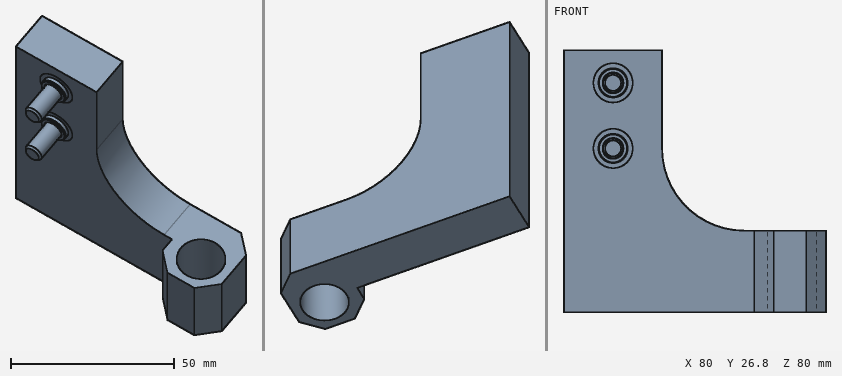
import cadquery as cq

overall_size = 80.0
plate_thickness = 14.0
column_width = 30.0
foot_height = 25.0
inner_corner_radius = foot_height

boss_width = 22.0
boss_reach = 11.0
boss_chamfer = 6.0
bore_diameter = 14.9
bore_from_end = 10.5
bore_from_front = 10.0

pin_pitch = 20.0
pin_x = column_width / 2
upper_pin_z = overall_size - pin_pitch / 2
pin_heights = [upper_pin_z, upper_pin_z - pin_pitch]

seat_depth = 10.0
bushing_diameter = 12.0
bushing_hole_diameter = 6.4
collar_diameter = 9.0
collar_length = 1.8
collar_chamfer_length = 0.5
collar_chamfer_depth = 0.2

pin_diameter = 6.0
pin_reach = 12.8
pin_chamfer_length = 0.7
pin_chamfer_depth = 0.6


def cylinder_along_y(diameter, back_y, front_y, z):
    """Cylinder on the pin axis at height z, running toward -Y."""
    return (
        cq.Workplane("XZ", origin=(pin_x, back_y, z))
        .circle(diameter / 2)
        .extrude(back_y - front_y)
    )


def chamfer_front(cylinder, length, depth):
    """Chamfer the front rim: length is along Y, depth is radial."""
    return cylinder.faces("<Y").edges().chamfer(length, depth)


def make_plate():
    """L-shaped plate with a rounded inner corner."""
    corner_center = (column_width + inner_corner_radius, foot_height + inner_corner_radius)
    half_chord = inner_corner_radius * 0.5 ** 0.5
    arc_middle = (corner_center[0] - half_chord, corner_center[1] - half_chord)
    return (
        cq.Workplane("XZ")
        .lineTo(overall_size, 0)
        .lineTo(overall_size, foot_height)
        .lineTo(corner_center[0], foot_height)
        .threePointArc(arc_middle, (column_width, corner_center[1]))
        .lineTo(column_width, overall_size)
        .lineTo(0, overall_size)
        .close()
        .extrude(-plate_thickness)
    )


def make_boss():
    """Rectangular boss in front of the foot, with chamfered front corners."""
    return (
        cq.Workplane("XY")
        .box(boss_width, boss_reach, foot_height, centered=False)
        .translate((overall_size - boss_width, -boss_reach, 0))
        .edges("|Z and <Y")
        .chamfer(boss_chamfer)
    )


def make_bracket():
    """Plate and boss in one piece, with the bore and the blind bushing seats."""
    plate = make_plate().edges("|Z and >X and >Y").chamfer(boss_chamfer)
    bore = (
        cq.Workplane("XY")
        .center(overall_size - bore_from_end, bore_from_front - boss_reach)
        .circle(bore_diameter / 2)
        .extrude(foot_height)
    )
    bracket = plate.union(make_boss()).clean().cut(bore)
    for z in pin_heights:
        bracket = bracket.cut(cylinder_along_y(bushing_diameter, seat_depth, 0, z))
    return bracket


def make_bushing(z):
    """Sleeve flush with the plate, carrying a smaller chamfered collar in front."""
    sleeve = cylinder_along_y(bushing_diameter, seat_depth, 0, z)
    collar = cylinder_along_y(collar_diameter, 0, -collar_length, z)
    collar = chamfer_front(collar, collar_chamfer_length, collar_chamfer_depth)
    hole = cylinder_along_y(bushing_hole_diameter, seat_depth, -collar_length, z)
    return sleeve.union(collar).cut(hole)


def make_pin(z):
    """Pin standing on the seat floor with clearance in its bushing, chamfered in front."""
    pin = cylinder_along_y(pin_diameter, seat_depth, -pin_reach, z)
    return chamfer_front(pin, pin_chamfer_length, pin_chamfer_depth)


bracket = make_bracket()
bushings = [make_bushing(z).val() for z in pin_heights]
pins = [make_pin(z).val() for z in pin_heights]

result = cq.Compound.makeCompound([bracket.val(), *bushings, *pins])